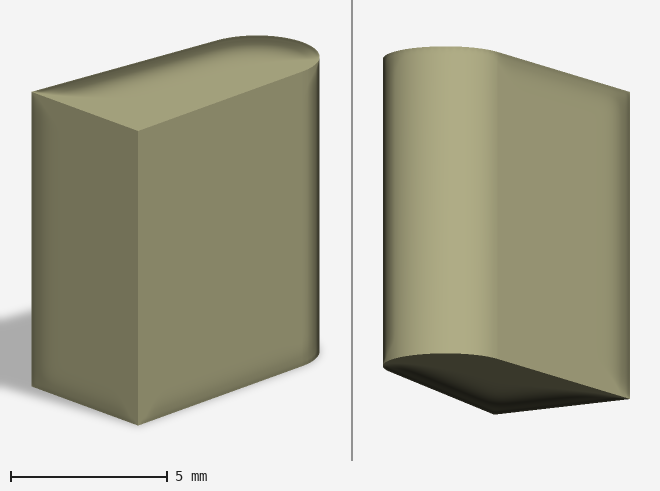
import cadquery as cq
import math

base_width = 5.0
depth = 9.5
height = 10.0
nose_radius = 2.0

half_base = base_width / 2
nose_center_y = depth - nose_radius
corner_to_center = math.hypot(half_base, nose_center_y)
flank_angle = math.acos(nose_radius / corner_to_center) - math.atan2(nose_center_y, half_base)
tangent_x = nose_radius * math.cos(flank_angle)
tangent_y = nose_center_y + nose_radius * math.sin(flank_angle)

result = (
    cq.Workplane("XY")
    .moveTo(-half_base, 0)
    .lineTo(half_base, 0)
    .lineTo(tangent_x, tangent_y)
    .threePointArc((0, depth), (-tangent_x, tangent_y))
    .close()
    .extrude(height)
)